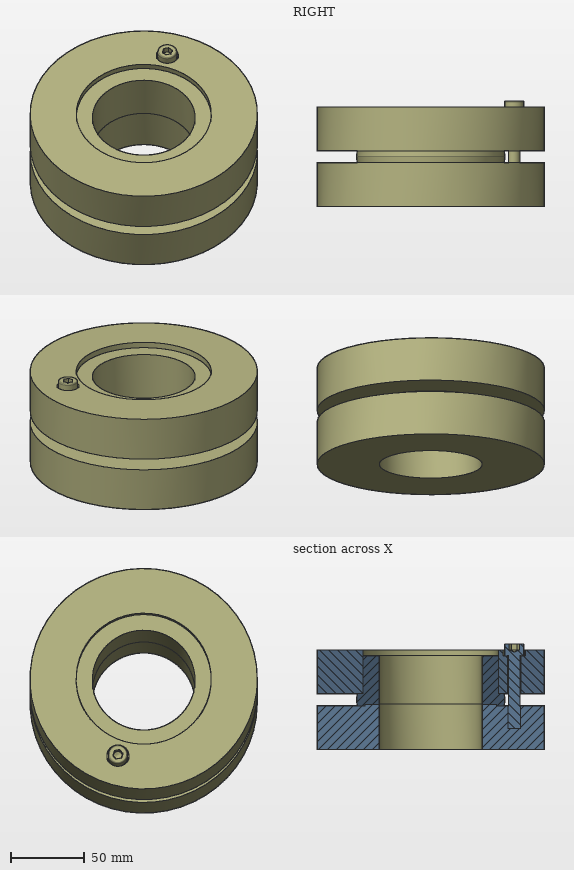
import cadquery as cq
import math

plate_diameter = 155.0
upper_plate_top = 68.0
plate_gap = 8.0
plate_height = (upper_plate_top - plate_gap) / 2
upper_plate_base = plate_height + plate_gap

boss_diameter = 90.0
boss_height = 1.1
boss_top = plate_height + boss_height

bore_diameter = 70.0
neck_diameter = 92.0
neck_recess = 4.0
collar_end_diameter = 100.5
collar_crest_diameter = 101.4
collar_crest_z = plate_height + plate_gap / 2

screw_y = 56.9
head_diameter = 13.0
head_height = 8.0
head_protrusion = 4.0
head_fillet = 0.6
shank_diameter = 8.0
thread_engagement = 15.5
socket_across_flats = 6.0
socket_depth = 4.0
socket_tip_depth = 1.5
counterbore_diameter = 15.0
clearance_diameter = 9.0
screw_top = upper_plate_top + head_protrusion
head_base = screw_top - head_height
screw_tip = plate_height - thread_engagement


def cylinder(diameter, bottom, top, y=0.0):
    """Vertical cylinder between two heights, centred at X = 0."""
    return cq.Workplane("XY", origin=(0, y, bottom)).circle(diameter / 2).extrude(top - bottom)


def make_lower_plate():
    plate = cylinder(plate_diameter, 0, plate_height)
    boss = cylinder(boss_diameter, plate_height, boss_top)
    bore = cylinder(bore_diameter, 0, boss_top)
    screw_hole = cylinder(shank_diameter, screw_tip, plate_height, screw_y)
    return plate.union(boss).cut(bore).cut(screw_hole)


def make_upper_plate():
    plate = cylinder(plate_diameter, upper_plate_base, upper_plate_top)
    sleeve_hole = cylinder(neck_diameter, upper_plate_base, upper_plate_top)
    clearance_hole = cylinder(clearance_diameter, upper_plate_base, head_base, screw_y)
    counterbore = cylinder(counterbore_diameter, head_base, upper_plate_top, screw_y)
    return plate.cut(sleeve_hole).cut(clearance_hole).cut(counterbore)


def make_sleeve():
    """Turned ring with a shallow recess underneath that fits over the boss."""
    sleeve_top = upper_plate_top - neck_recess
    return (
        cq.Workplane("XZ")
        .moveTo(bore_diameter / 2, boss_top)
        .lineTo(boss_diameter / 2, boss_top)
        .lineTo(boss_diameter / 2, plate_height)
        .lineTo(collar_end_diameter / 2, plate_height)
        .lineTo(collar_crest_diameter / 2, collar_crest_z)
        .lineTo(collar_end_diameter / 2, upper_plate_base)
        .lineTo(neck_diameter / 2, upper_plate_base)
        .lineTo(neck_diameter / 2, sleeve_top)
        .lineTo(bore_diameter / 2, sleeve_top)
        .close()
        .revolve(360, (0, 0, 0), (0, 1, 0))
    )


def make_screw():
    head = cylinder(head_diameter, head_base, screw_top, screw_y).faces(">Z").edges().fillet(head_fillet)
    shank = cylinder(shank_diameter, screw_tip, head_base, screw_y)
    return head.union(shank).cut(make_hex_socket())


def make_hex_socket():
    """Hexagonal recess with two corners along Y and a conical bottom."""
    across_corners = socket_across_flats / math.cos(math.pi / 6)
    socket_floor = screw_top - socket_depth
    hexagon = (
        cq.Workplane("XY", origin=(0, screw_y, socket_floor))
        .transformed(rotate=(0, 0, 90))
        .polygon(6, across_corners)
        .extrude(socket_depth)
    )
    tip = cq.Workplane(
        cq.Solid.makeCone(
            socket_across_flats / 2,
            0,
            socket_tip_depth,
            pnt=cq.Vector(0, screw_y, socket_floor),
            dir=cq.Vector(0, 0, -1),
        )
    )
    return hexagon.union(tip)


lower_plate = make_lower_plate()
upper_plate = make_upper_plate()
sleeve = make_sleeve()
screw = make_screw()

result = cq.Compound.makeCompound([lower_plate.val(), upper_plate.val(), sleeve.val(), screw.val()])